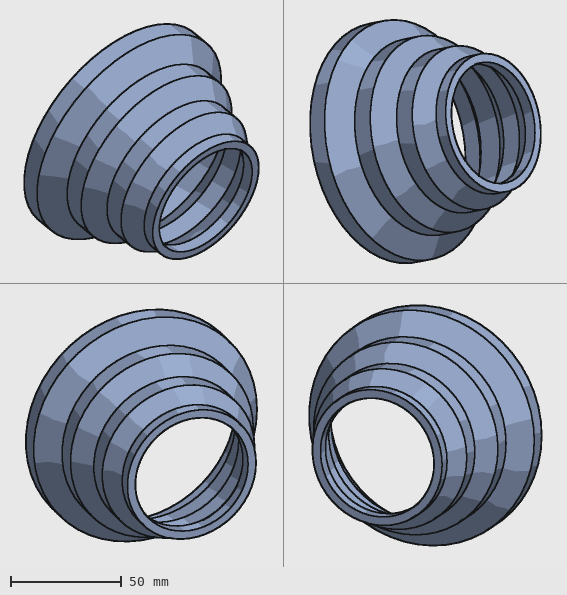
import cadquery as cq

total_length = 62.0

outer_bands = [
    (55.0, 0.0, 9.0),
    (45.0, 18.3, 27.9),
    (37.5, 37.2, 46.9),
    (31.7, 56.1, total_length),
]

bore_bands = [
    (48.4, 0.0, 9.0),
    (41.2, 16.3, 27.9),
    (33.8, 37.2, 46.9),
    (27.7, 56.1, total_length),
]


def revolved_bands(bands):
    """Solid of revolution about X whose surface follows the given bands."""
    points = [(0, 0)]
    for radius, start, end in bands:
        points += [(start, radius), (end, radius)]
    points.append((total_length, 0))
    return cq.Workplane("XY").polyline(points).close().revolve(360, (0, 0, 0), (1, 0, 0))


result = revolved_bands(outer_bands).cut(revolved_bands(bore_bands))